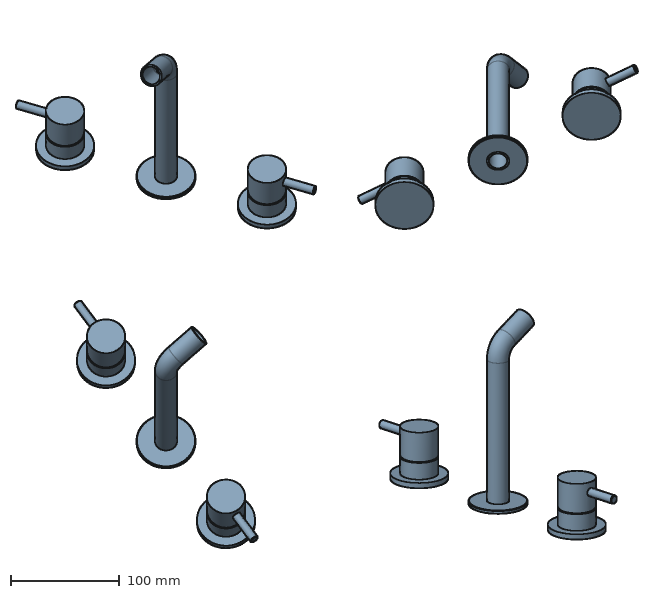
import cadquery as cq
import math

overall_width = 295.0
handle_spacing = 100.0

base_diameter = 53.7
base_height = 5.3
knob_diameter = 35.5
handle_height = 51.3
groove_bottom = 21.5
groove_width = 1.0
groove_depth = 0.5
lever_diameter = 8.3
lever_height = 41.3
lever_tip_chamfer = 0.5

flange_diameter = 54.5
flange_thickness = 3.5
flange_chamfer = 0.5

tube_diameter = 20.6
bore_diameter = 16.8
riser_top = 142.0
bend_radius = 20.0
bend_angle = 63.0
outlet_length = 28.5


def cylinder(diameter, bottom, top):
    """Vertical cylinder on the Z axis between two heights."""
    return cq.Workplane("XY").workplane(offset=bottom).circle(diameter / 2).extrude(top - bottom)


def make_handle(side):
    """Round handle with a radial lever; side is -1 or +1 along X."""
    groove_top = groove_bottom + groove_width
    groove_floor_diameter = knob_diameter - 2 * groove_depth
    lever_reach = overall_width / 2 - handle_spacing

    base = cylinder(base_diameter, 0, base_height)
    knob = cylinder(knob_diameter, base_height, handle_height)
    groove = cylinder(knob_diameter, groove_bottom, groove_top).cut(
        cylinder(groove_floor_diameter, groove_bottom, groove_top)
    )
    lever = (
        cq.Workplane("YZ")
        .center(0, lever_height)
        .circle(lever_diameter / 2)
        .extrude(lever_reach)
        .faces(">X")
        .chamfer(lever_tip_chamfer)
    )
    handle = base.union(knob.cut(groove)).union(lever)
    if side < 0:
        handle = handle.mirror("YZ")
    return handle.translate((side * handle_spacing, 0, 0))


def make_flange():
    """Thin disc, chamfered on both rims, with a hole that seats the spout tube."""
    disc = cylinder(flange_diameter, 0, flange_thickness).edges().chamfer(flange_chamfer)
    return disc.cut(cylinder(tube_diameter, 0, flange_thickness))


def bend_point(angle):
    """Point (y, z) on the bend centreline after turning by angle radians."""
    return (
        -bend_radius * (1 - math.cos(angle)),
        riser_top + bend_radius * math.sin(angle),
    )


def make_spout():
    """Open tube: vertical riser, bend and straight inclined outlet."""
    turn = math.radians(bend_angle)
    bend_end = bend_point(turn)
    outlet_end = (
        bend_end[0] - outlet_length * math.sin(turn),
        bend_end[1] + outlet_length * math.cos(turn),
    )
    centreline = (
        cq.Workplane("YZ")
        .lineTo(0, riser_top)
        .threePointArc(bend_point(turn / 2), bend_end)
        .lineTo(*outlet_end)
    )
    return (
        cq.Workplane("XY")
        .circle(tube_diameter / 2)
        .circle(bore_diameter / 2)
        .sweep(centreline)
    )


handles = [make_handle(side) for side in (-1, 1)]
flange = make_flange()
spout = make_spout()

result = cq.Compound.makeCompound(
    [flange.val(), spout.val(), *[handle.val() for handle in handles]]
)